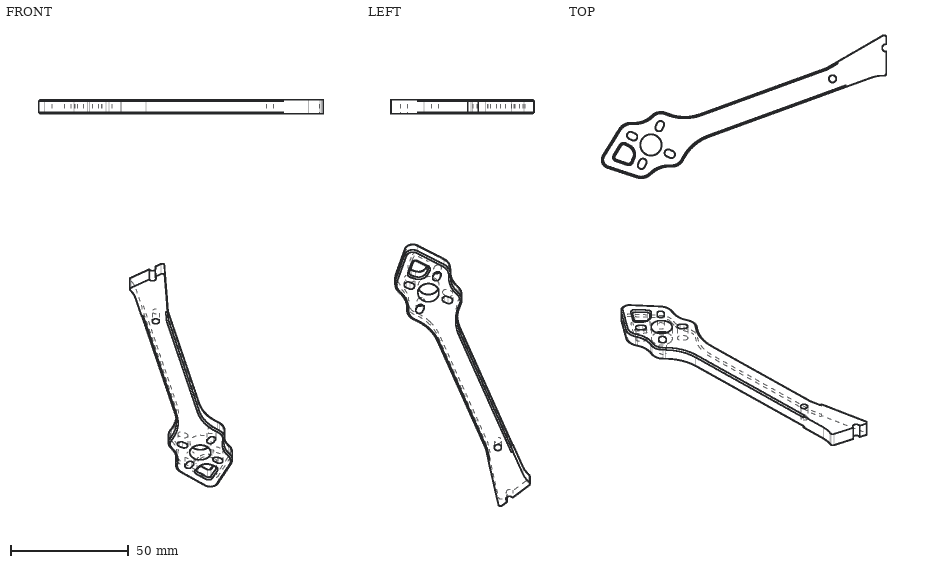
import cadquery as cq
import math

THICKNESS = 6.0
ARM_ANGLE = 20.0
ARM_HALF_WIDTH = 5.2
EDGE_CHAMFER = 0.7
CHAMFER_END = 86.4

MOTOR_BORE_DIAMETER = 9.0
SCREW_DIAMETER = 3.0
SCREW_CIRCLE_RADIUS = 8.8
SCREW_SLOT_LENGTH = 4.5
SCREW_COUNT = 4

NOSE = (-24.3, 0, 3.6)
MOUNT_SIDE = [
    (-7.7, 13.0, 6.0),
    (0.2, 9.9, 10.3),
    (8.1, 12.9, 5.5),
    (16.8, ARM_HALF_WIDTH, 19.3),
]

POCKET_NOSE = (-16.9, 0, 1.0)
POCKET_SIDE = (-11.1, 4.7, 1.2)
POCKET_REAR = (-6.8, 0, 3.6)

END_X = 100.0
ROOT_FLARE_START = 81.2
ROOT_FLARE_ANGLE = 10.0
ROOT_BOTTOM_Y = 29.4
ROOT_BOTTOM_RADIUS = 13.9
ROOT_CORNER_RADIUS = 1.0
ROOT_HOLE_DISTANCE = 82.1
NOTCH_CENTRE_X = 99.7
NOTCH_Y = 41.2


def swing(point, angle):
    """Turn an (x, y) point about the motor centre by an angle in degrees."""
    cosine = math.cos(math.radians(angle))
    sine = math.sin(math.radians(angle))
    x, y = point
    return x * cosine - y * sine, x * sine + y * cosine


def mirrored(corner):
    along, across, radius = corner
    return along, -across, radius


def fillet_points(before, corner, after):
    """Return the start, middle and end of the arc that rounds a corner."""
    x, y, radius = corner
    into = cq.Vector(before[0] - x, before[1] - y).normalized()
    out = cq.Vector(after[0] - x, after[1] - y).normalized()
    half_angle = into.getAngle(out) / 2
    tangent_length = radius / math.tan(half_angle)
    middle_offset = radius / math.sin(half_angle) - radius
    vertex = cq.Vector(x, y)
    middle = vertex + (into + out).normalized() * middle_offset
    return vertex + into * tangent_length, middle, vertex + out * tangent_length


def rounded_prism(corners):
    """Extrude a closed polygon of (x, y, fillet radius); radius 0 leaves a sharp corner."""
    outline = cq.Workplane("XY")
    for index, corner in enumerate(corners):
        before = corners[index - 1]
        after = corners[(index + 1) % len(corners)]
        if corner[2] == 0:
            start = cq.Vector(corner[0], corner[1])
        else:
            start, middle, end = fillet_points(before, corner, after)
        if index == 0:
            outline = outline.moveTo(start.x, start.y)
        else:
            outline = outline.lineTo(start.x, start.y)
        if corner[2] > 0:
            outline = outline.threePointArc(middle.toTuple()[:2], end.toTuple()[:2])
    return outline.close().extrude(THICKNESS)


def root_corners():
    """Corners of the arm root, from its lower edge round to the start of the flare."""
    slope = math.tan(math.radians(ARM_ANGLE))
    bottom_x = (ROOT_BOTTOM_Y + ARM_HALF_WIDTH / math.cos(math.radians(ARM_ANGLE))) / slope
    flare_x, flare_y = swing((ROOT_FLARE_START, ARM_HALF_WIDTH), ARM_ANGLE)
    top_y = flare_y + (END_X - flare_x) * math.tan(math.radians(ARM_ANGLE + ROOT_FLARE_ANGLE))
    final_corners = [
        (bottom_x, ROOT_BOTTOM_Y, ROOT_BOTTOM_RADIUS),
        (END_X, ROOT_BOTTOM_Y, ROOT_CORNER_RADIUS),
        (END_X, top_y, ROOT_CORNER_RADIUS),
        (flare_x, flare_y, 0),
    ]
    return [(*swing((x, y), -ARM_ANGLE), radius) for x, y, radius in final_corners]


def arm_body():
    """Plate with chamfered rims everywhere except on the root."""
    lower_side = [mirrored(corner) for corner in MOUNT_SIDE]
    plate = rounded_prism([NOSE] + lower_side + root_corners() + MOUNT_SIDE[::-1])
    root_space = cq.Workplane("XY").box(
        END_X, END_X, THICKNESS, centered=(False, True, False)
    ).translate((CHAMFER_END, 0, 0))
    chamfered_plate = plate.faces("|Z").edges().chamfer(EDGE_CHAMFER)
    return chamfered_plate.cut(root_space).union(plate.intersect(root_space))


def with_nose_pocket(body):
    """Cut the through pocket and chamfer its rims on both faces."""
    corners = [POCKET_NOSE, mirrored(POCKET_SIDE), POCKET_REAR, POCKET_SIDE]
    pocketed = body.cut(rounded_prism(corners))
    around_pocket = cq.selectors.BoxSelector(
        (POCKET_NOSE[0], -POCKET_SIDE[1], -THICKNESS),
        (POCKET_REAR[0], POCKET_SIDE[1], 2 * THICKNESS),
    )
    return pocketed.edges(around_pocket).edges("#Z").chamfer(EDGE_CHAMFER)


def motor_holes():
    bore = cq.Workplane("XY").circle(MOTOR_BORE_DIAMETER / 2).extrude(THICKNESS)
    slots = (
        cq.Workplane("XY")
        .polarArray(SCREW_CIRCLE_RADIUS, 180 / SCREW_COUNT, 360, SCREW_COUNT)
        .slot2D(SCREW_SLOT_LENGTH, SCREW_DIAMETER)
        .extrude(THICKNESS)
    )
    return bore.union(slots)


def root_hole():
    return cq.Workplane("XY").center(ROOT_HOLE_DISTANCE, 0).circle(SCREW_DIAMETER / 2).extrude(THICKNESS)


def end_notch():
    """Round-bottomed notch open to the end face, placed in final coordinates."""
    length = 2 * SCREW_DIAMETER
    centre_x = NOTCH_CENTRE_X + (length - SCREW_DIAMETER) / 2
    return cq.Workplane("XY").center(centre_x, NOTCH_Y).slot2D(length, SCREW_DIAMETER).extrude(THICKNESS)


arm = with_nose_pocket(arm_body())
arm = arm.cut(motor_holes()).cut(root_hole())
result = arm.rotate((0, 0, 0), (0, 0, 1), ARM_ANGLE).cut(end_notch())